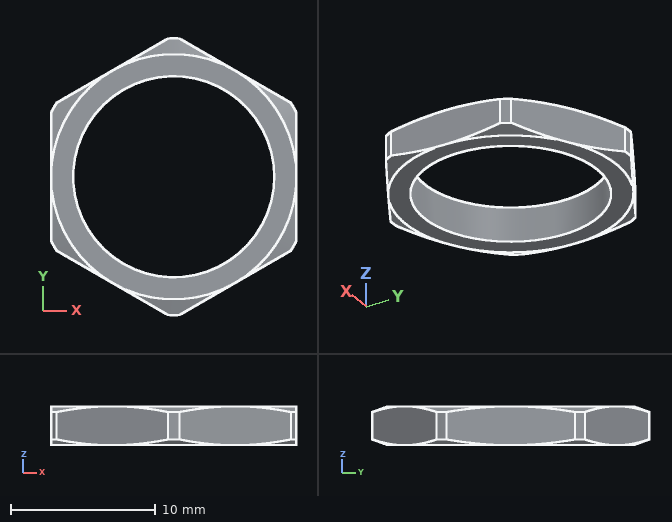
import cadquery as cq
import math

side_count = 6
across_flats = 17.0
corner_diameter = 19.2
thickness = 2.7
bore_diameter = 13.92
chamfer_angle = 20.0

half_side_angle = 180.0 / side_count
sharp_corner_diameter = across_flats / math.cos(math.radians(half_side_angle))
face_radius = across_flats / 2
corner_radius = corner_diameter / 2
chamfer_drop = (corner_radius - face_radius) * math.tan(math.radians(chamfer_angle))


def hexagonal_blank():
    """Hexagonal prism with two flats facing +X and -X, standing on Z = 0."""
    return (
        cq.Workplane("XY")
        .polygon(side_count, sharp_corner_diameter)
        .extrude(thickness)
        .rotate((0, 0, 0), (0, 0, 1), half_side_angle)
    )


def turned_envelope():
    """Cylinder that rounds the corners, with a conical chamfer at both ends."""
    half_profile = [
        (0, 0),
        (face_radius, 0),
        (corner_radius, chamfer_drop),
        (corner_radius, thickness - chamfer_drop),
        (face_radius, thickness),
        (0, thickness),
    ]
    return cq.Workplane("XZ").polyline(half_profile).close().revolve(360, (0, 0), (0, 1))


def bore():
    """Plain through hole on the Z axis."""
    return cq.Workplane("XY").circle(bore_diameter / 2).extrude(thickness)


result = hexagonal_blank().intersect(turned_envelope()).cut(bore())